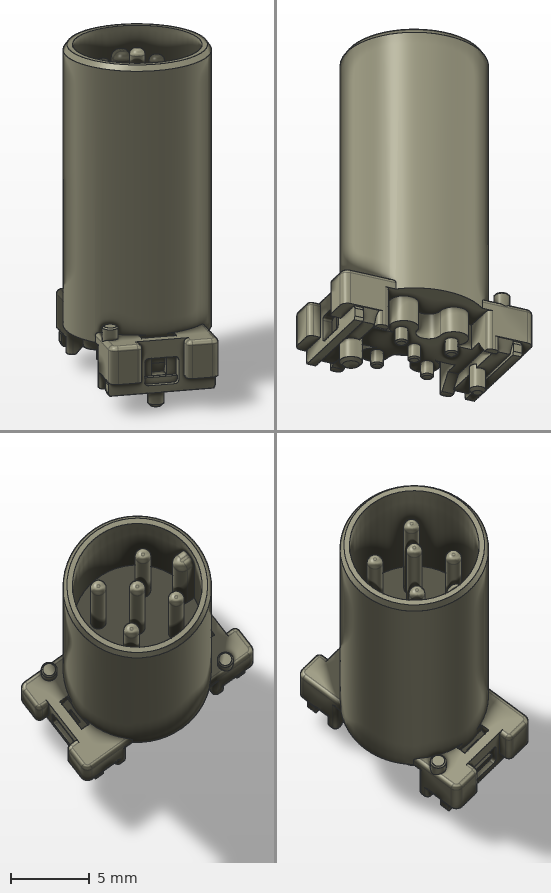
import cadquery as cq


shell_diameter = 9.45
shell_radius = shell_diameter / 2
shell_bottom = 2.76
peg_length = 1.3
overall_height = 22.7
shell_top = overall_height - peg_length
shell_chamfer_width = 0.25
shell_chamfer_height = 0.35
bore_radius = 4.12
bore_depth = 9.0
bore_floor = shell_top - bore_depth

pin_radius = 0.5
tip_flat_radius = 0.1
pin_offset = 1.77
outer_pin_recess = 1.35
center_pin_recess = 0.25
outer_pin_top = shell_top - outer_pin_recess
center_pin_top = shell_top - center_pin_recess
tail_radius = 0.41
tail_chamfer = 0.1
lobe_radius = 0.95
lobe_center_y = 2.1
core_bottom = 1.0
core_half_width = 1.2
hollow_radius = 0.82

key_half_width = 0.6
key_center_x = -3.55
key_recess = 1.5
key_top = shell_top - key_recess
key_wall_cover = 0.05
key_root_x = -(shell_radius - key_wall_cover)

flange_length = 13.5
flange_half_length = flange_length / 2
flange_half_width = 3.6
flange_top = 3.49
block_bottom = 1.0
leg_inner_x = 3.47
leg_thickness = 0.83
leg_foot_depth = 0.5
leg_root_depth = 1.4
leg_corner_radius = 0.3
flange_inner_x = 3.0
corner_radius = 0.5
mouth_radius = 0.34
top_edge_radius = 0.28
recess_x = 5.92
recess_half_width = 1.47

foot_inner_x = 5.3
foot_half_width = 3.53
foot_chamfer_height = 0.22
foot_chamfer_width = 0.1
floor_inner_x = 4.2
floor_bottom = 0.22
floor_slope_width = 0.5

window_half_width = 1.12
window_bottom = 0.5
window_top = 2.3
window_corner = 0.25
window_depth = 0.65
sill_depth = 0.35
sill_top = 0.93
slot_inner_x = 4.67
slot_outer_x = 5.27
slot_half_width = 1.15
slot_floor_inner = 2.9
slot_floor_outer = 2.5
notch_half_width = 0.5
notch_inner_x = 4.9
notch_bottom = 0.95
undercut_top = 1.65
undercut_x = 4.5

peg_x = 4.48
left_peg_radius = 0.73
right_peg_radius = 0.52
peg_chamfer = 0.2
marker_x = 4.7
marker_y = 3.07
marker_radius = 0.51
marker_top = 4.29
marker_chamfer = 0.1


def block(x_range, y_range, z_range):
    """Axis-aligned block given by its limits along X, Y and Z."""
    sizes = [high - low for low, high in (x_range, y_range, z_range)]
    origin = cq.Vector(x_range[0], y_range[0], z_range[0])
    return cq.Workplane(cq.Solid.makeBox(*sizes, pnt=origin))


def rod(x, y, radius, bottom, top):
    """Upright cylinder."""
    return cq.Workplane("XY", origin=(x, y, bottom)).circle(radius).extrude(top - bottom)


def make_shell():
    """Tube with a chamfered rim and a closed lower part."""
    return (
        cq.Workplane("XZ")
        .moveTo(0, shell_bottom)
        .lineTo(shell_radius, shell_bottom)
        .lineTo(shell_radius, shell_top - shell_chamfer_height)
        .lineTo(shell_radius - shell_chamfer_width, shell_top)
        .lineTo(bore_radius, shell_top)
        .lineTo(bore_radius, bore_floor)
        .lineTo(0, bore_floor)
        .close()
        .revolve(360, (0, 0, 0), (0, 1, 0))
    )


def make_contact(x, y, top):
    """Round-tipped pin in the bore and its solder tail under the core."""
    tip_radius = pin_radius - tip_flat_radius
    pin = rod(x, y, pin_radius, bore_floor, top).faces(">Z").edges().fillet(tip_radius)
    tail = rod(x, y, tail_radius, 0, core_bottom).faces("<Z").chamfer(tail_chamfer)
    return pin.union(tail)


def make_core():
    """Insulator core under the shell: a bar, four round lobes and a hollow between each pair."""
    z_range = (core_bottom, shell_bottom)
    core = block((-leg_inner_x, leg_inner_x), (-core_half_width, core_half_width), z_range)
    core = core.union(block((-pin_offset, pin_offset), (-lobe_center_y, lobe_center_y), z_range))
    for y in (-lobe_center_y, lobe_center_y):
        core = core.cut(rod(0, y, hollow_radius, *z_range))
        for x in (-pin_offset, pin_offset):
            core = core.union(rod(x, y, lobe_radius, *z_range))
    return core


def make_key():
    """Rib on the -X wall of the bore with a round front and a rounded top."""
    front = rod(key_center_x, 0, key_half_width, bore_floor, key_top)
    web = block((key_root_x, key_center_x), (-key_half_width, key_half_width), (bore_floor, key_top))
    return front.union(web).faces(">Z").edges().fillet(key_half_width - tip_flat_radius)


def make_end_block():
    """Rounded block on the +X, +Y corner."""
    end_block = block(
        (flange_inner_x, flange_half_length),
        (recess_half_width, flange_half_width),
        (block_bottom, flange_top),
    )
    end_block = end_block.edges("|Z and >X and >Y").fillet(corner_radius)
    end_block = end_block.edges("|Z and >X and <Y").fillet(mouth_radius)
    return end_block.faces(">Z").edges("not <X").fillet(top_edge_radius)


def make_flange_body():
    """Two end blocks on the +X side and the web that joins them."""
    end_block = make_end_block()
    web_half_width = recess_half_width + mouth_radius
    web = block(
        (flange_inner_x, recess_x),
        (-web_half_width, web_half_width),
        (block_bottom, flange_top),
    )
    under_shell = block(
        (flange_inner_x, leg_inner_x),
        (-flange_half_width, flange_half_width),
        (block_bottom, shell_bottom),
    )
    return web.union(end_block).union(end_block.mirror("XZ")).cut(under_shell)


def make_leg():
    """Tapered leg near the inner +Y corner of the +X flange that stands on the seating plane."""
    return (
        cq.Workplane("YZ", origin=(leg_inner_x, 0, 0))
        .moveTo(flange_half_width, 0)
        .lineTo(flange_half_width - leg_foot_depth, 0)
        .lineTo(flange_half_width - leg_root_depth, block_bottom)
        .lineTo(flange_half_width, block_bottom)
        .close()
        .extrude(leg_thickness)
        .edges("|Z and >X and >Y")
        .fillet(leg_corner_radius)
    )


def make_underside():
    """Foot bar with chamfered ends and the sloped floor beside it, on the +X side."""
    bar = block((foot_inner_x, recess_x), (-foot_half_width, foot_half_width), (0, block_bottom))
    bar = bar.faces("<Y or >Y").edges("|X").chamfer(foot_chamfer_height, foot_chamfer_width)
    flat_half_width = foot_half_width - floor_slope_width
    floor = (
        cq.Workplane("YZ", origin=(floor_inner_x, 0, 0))
        .moveTo(-foot_half_width, block_bottom)
        .lineTo(-flat_half_width, floor_bottom)
        .lineTo(flat_half_width, floor_bottom)
        .lineTo(foot_half_width, block_bottom)
        .close()
        .extrude(foot_inner_x - floor_inner_x)
    )
    return bar.union(floor)


def make_latch_opening():
    """Window, sloped slot and undercut notch removed from the +X flange."""
    window = block(
        (recess_x - window_depth, recess_x),
        (-window_half_width, window_half_width),
        (window_bottom, window_top),
    ).edges("|X").fillet(window_corner)
    sill = block(
        (recess_x - window_depth, recess_x - sill_depth),
        (-window_half_width, window_half_width),
        (window_bottom, sill_top),
    )
    slot = (
        cq.Workplane("XZ", origin=(0, slot_half_width, 0))
        .moveTo(slot_inner_x, flange_top)
        .lineTo(slot_inner_x, slot_floor_inner)
        .lineTo(slot_outer_x, slot_floor_outer)
        .lineTo(slot_outer_x, flange_top)
        .close()
        .extrude(2 * slot_half_width)
    )
    notch = (
        cq.Workplane("XZ", origin=(0, notch_half_width, 0))
        .moveTo(slot_outer_x, notch_bottom)
        .lineTo(undercut_x, notch_bottom)
        .lineTo(notch_inner_x, undercut_top)
        .lineTo(notch_inner_x, flange_top)
        .lineTo(slot_outer_x, flange_top)
        .close()
        .extrude(2 * notch_half_width)
    )
    return window.cut(sill).union(slot).union(notch)


def make_flange():
    """Complete +X flange with its legs, foot bar and latch opening."""
    leg = make_leg()
    flange = make_flange_body().union(leg).union(leg.mirror("XZ"))
    inner_corners = cq.selectors.BoxSelector(
        (flange_inner_x, -flange_half_length, 0),
        (leg_inner_x + leg_corner_radius, flange_half_length, shell_bottom),
    )
    flange = flange.edges("|Z").edges(inner_corners).fillet(leg_corner_radius)
    flange = flange.union(make_underside())
    return flange.cut(make_latch_opening())


def make_peg(x, radius):
    """Locating peg with a chamfered tip below the seating plane."""
    return rod(x, 0, radius, -peg_length, window_bottom).faces("<Z").chamfer(peg_chamfer)


def make_marker(x, y):
    """Small pin standing on a flange corner."""
    return rod(x, y, marker_radius, block_bottom, marker_top).faces(">Z").chamfer(marker_chamfer)


def make_part():
    """Shell, mirrored flanges, core, key, contacts and pegs joined into one solid."""
    right_flange = make_flange()
    part = make_shell().union(right_flange).union(right_flange.mirror("YZ"))
    part = part.union(make_core()).union(make_key())
    for x in (-pin_offset, pin_offset):
        for y in (-pin_offset, pin_offset):
            part = part.union(make_contact(x, y, outer_pin_top))
    part = part.union(make_contact(0, 0, center_pin_top))
    part = part.union(make_peg(-peg_x, left_peg_radius)).union(make_peg(peg_x, right_peg_radius))
    part = part.union(make_marker(-marker_x, marker_y)).union(make_marker(marker_x, -marker_y))
    return part


result = make_part()